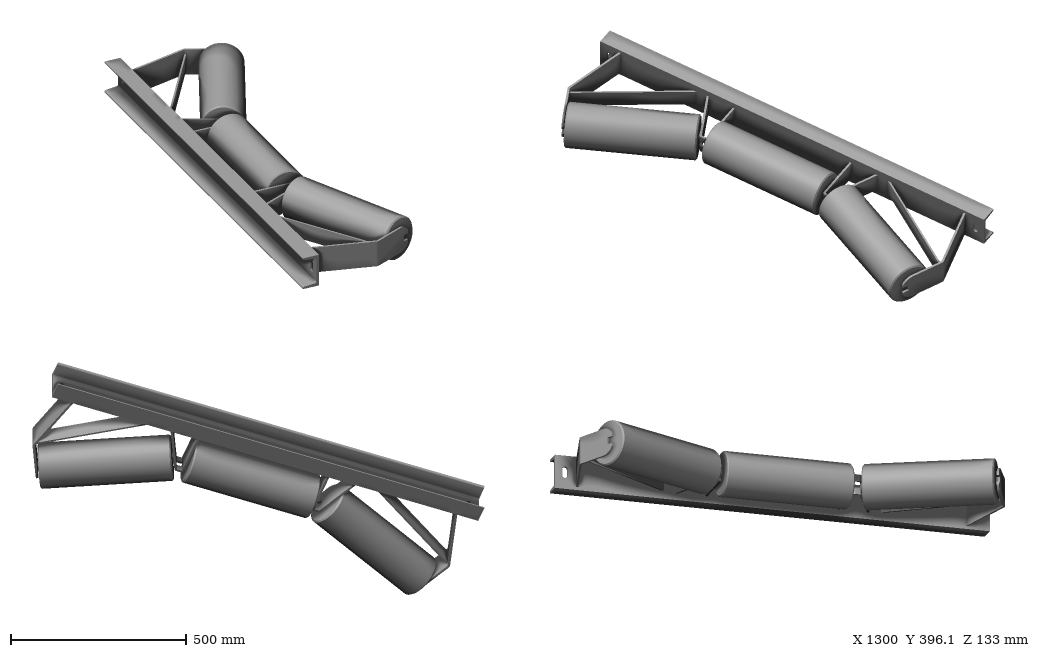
import cadquery as cq
import math


BEAM_LENGTH = 1300.0
BEAM_DEPTH = 51.0
BEAM_HEIGHT = 100.0
WEB_THICKNESS = 8.0
FLANGE_TIP_THICKNESS = 6.0
FLANGE_ROOT_THICKNESS = 10.0
BEAM_ROOT_RADIUS = 5.0
BEAM_TIP_RADIUS = 5.0
SLOT_WIDTH = 15.0
SLOT_HEIGHT = 34.0
SLOT_INSET = 30.0

ROLLER_DIAMETER = 133.0
ROLLER_LENGTH = 381.0
ROLLER_CHAMFER = 4.0
AXLE_WIDTH = 20.0
ROLLER_GAP = 4.5
TROUGH_ANGLE = 25.0
MIDDLE_ROLLER_Y = 169.0
SIDE_ROLLER_X = 408.0
SIDE_ROLLER_Y = 257.0

OUTER_WIDTH = 80.0
BAR_THICKNESS = 6.0
STRUT_THICKNESS = 5.0
STRUT_WIDTH = 52.0
KNEE_Y = 245.0
KNEE_RADIUS = 8.0
OUTER_FOOT_X = 584.0
TIP_REACH = 29.0
TIP_ROUND_DROP = 6.0
STRUT_TOP_Y = 248.0
STRUT_FOOT_X = 329.0
INNER_TOP_Y = 196.0
INNER_WIDTH = 60.0
INNER_BEND_RADIUS = 3.0

AXLE_HALF_LENGTH = ROLLER_LENGTH / 2 + ROLLER_GAP + BAR_THICKNESS
BAR_OFFSET = AXLE_HALF_LENGTH - BAR_THICKNESS / 2
FOOT_OVERRUN = 13.0
TOOL_THICKNESS = 4 * BAR_THICKNESS
CLEARANCE = 65.0


def place_at_side_roller(shape):
    """Move a shape made about a level roller at the origin to the right-hand side roller."""
    tilted = shape.rotate((0, 0, 0), (0, 0, 1), TROUGH_ANGLE)
    return tilted.translate((SIDE_ROLLER_X, SIDE_ROLLER_Y, 0))


def side_point(along, up):
    """XY point at a distance along and square to the axis of the right-hand side roller."""
    angle = math.radians(TROUGH_ANGLE)
    x = SIDE_ROLLER_X + along * math.cos(angle) - up * math.sin(angle)
    y = SIDE_ROLLER_Y + along * math.sin(angle) + up * math.cos(angle)
    return x, y


def side_point_at_height(along, y):
    """Point at height Y on the line square to the side roller axis at a distance along it."""
    angle = math.radians(TROUGH_ANGLE)
    start_y = side_point(along, 0)[1]
    return side_point(along, (y - start_y) / math.cos(angle))


KNEE = side_point_at_height(BAR_OFFSET, KNEE_Y)


def extended(start, end, distance):
    """Point beyond the end of a line."""
    length = math.dist(start, end)
    return tuple(e + (e - s) * distance / length for s, e in zip(start, end))


def flat_bar(points, thickness, width):
    """Flat bar with mitred bends, its middle surface through the XY points."""
    left_side = []
    right_side = []
    for i, (x, y) in enumerate(points):
        before = points[max(i - 1, 0)]
        after = points[min(i + 1, len(points) - 1)]
        angles = []
        if i > 0:
            angles.append(math.atan2(y - before[1], x - before[0]))
        if i < len(points) - 1:
            angles.append(math.atan2(after[1] - y, after[0] - x))
        turn = math.remainder(angles[-1] - angles[0], 2 * math.pi)
        normal = angles[0] + turn / 2 + math.pi / 2
        reach = thickness / 2 / math.cos(turn / 2)
        dx = reach * math.cos(normal)
        dy = reach * math.sin(normal)
        left_side.append((x + dx, y + dy))
        right_side.append((x - dx, y - dy))
    outline = cq.Workplane("XY").polyline(left_side + right_side[::-1]).close()
    return outline.extrude(width / 2, both=True)


def trim_foot(bar):
    """Cut a bar off flush with the beam web."""
    below = cq.Workplane("XY").box(2 * BEAM_LENGTH, 2 * CLEARANCE, 2 * OUTER_WIDTH)
    return bar.cut(below.translate((0, BEAM_DEPTH - CLEARANCE, 0)))


def axle_slot(end):
    """Tool for the slot that takes one axle end (+1 or -1) of a level roller, open upwards."""
    slot = cq.Workplane("XY").box(TOOL_THICKNESS, AXLE_WIDTH + CLEARANCE, AXLE_WIDTH)
    return slot.translate((end * BAR_OFFSET, CLEARANCE / 2, 0))


def make_beam():
    tip_z = BEAM_HEIGHT / 2 - FLANGE_TIP_THICKNESS
    root_y = BEAM_DEPTH - WEB_THICKNESS
    root_z = BEAM_HEIGHT / 2 - FLANGE_ROOT_THICKNESS
    outer_z = BEAM_HEIGHT / 2
    half_outline = [(0, outer_z), (0, tip_z), (root_y, root_z)]
    mirrored_half = [(y, -z) for y, z in reversed(half_outline)]
    outline = half_outline + mirrored_half + [(BEAM_DEPTH, -outer_z), (BEAM_DEPTH, outer_z)]
    end_plane = cq.Workplane("YZ", origin=(-BEAM_LENGTH / 2, 0, 0))
    beam = end_plane.polyline(outline).close().extrude(BEAM_LENGTH)
    for side in (-1, 1):
        root_edge = cq.selectors.NearestToPointSelector((0, root_y, side * root_z))
        beam = beam.edges(root_edge).fillet(BEAM_ROOT_RADIUS)
        tip_edge = cq.selectors.NearestToPointSelector((0, 0, side * tip_z))
        beam = beam.edges(tip_edge).fillet(BEAM_TIP_RADIUS)
    slot_x = BEAM_LENGTH / 2 - SLOT_INSET
    slots = (
        cq.Workplane("XZ")
        .pushPoints([(-slot_x, 0), (slot_x, 0)])
        .slot2D(SLOT_HEIGHT, SLOT_WIDTH, 90)
        .extrude(-BEAM_DEPTH)
    )
    return beam.cut(slots)


def make_roller():
    """Level roller centred on the origin, with its square axle ends."""
    end_plane = cq.Workplane("YZ", origin=(-ROLLER_LENGTH / 2, 0, 0))
    shell = end_plane.circle(ROLLER_DIAMETER / 2).extrude(ROLLER_LENGTH)
    shell = shell.faces("<X or >X").chamfer(ROLLER_CHAMFER)
    axle = cq.Workplane("XY").box(2 * AXLE_HALF_LENGTH, AXLE_WIDTH, AXLE_WIDTH)
    return shell.union(axle)


def outer_tip_trim():
    """Tool that rounds the outer bracket tip, made about a level roller."""
    tip_radius = OUTER_WIDTH / 2
    corner_block = cq.Workplane("XY").box(TOOL_THICKNESS, CLEARANCE, 2 * OUTER_WIDTH)
    corner_block = corner_block.translate((0, CLEARANCE / 2, 0))
    disc = cq.Workplane("YZ").circle(tip_radius).extrude(TOOL_THICKNESS / 2, both=True)
    return corner_block.cut(disc).translate((BAR_OFFSET, -TIP_ROUND_DROP, 0))


def make_outer_bracket():
    tip = side_point(BAR_OFFSET, TIP_REACH)
    foot = extended(KNEE, (OUTER_FOOT_X, BEAM_DEPTH), FOOT_OVERRUN)
    bracket = flat_bar([tip, KNEE, foot], BAR_THICKNESS, OUTER_WIDTH)
    inner_edge = cq.selectors.NearestToPointSelector((KNEE[0] - BAR_THICKNESS / 2, KNEE[1], 0))
    bracket = bracket.edges(inner_edge).fillet(KNEE_RADIUS)
    outer_edge = cq.selectors.NearestToPointSelector((KNEE[0] + BAR_THICKNESS / 2, KNEE[1], 0))
    bracket = bracket.edges(outer_edge).fillet(KNEE_RADIUS + BAR_THICKNESS)
    bracket = bracket.cut(place_at_side_roller(outer_tip_trim()))
    bracket = bracket.cut(place_at_side_roller(axle_slot(1)))
    return trim_foot(bracket)


def make_strut(outer_bracket):
    """Brace from the knee of the outer bracket down to the beam."""
    top = side_point_at_height(BAR_OFFSET, STRUT_TOP_Y)
    foot = extended(top, (STRUT_FOOT_X, BEAM_DEPTH), FOOT_OVERRUN)
    strut = flat_bar([top, foot], STRUT_THICKNESS, STRUT_WIDTH)
    return trim_foot(strut).cut(outer_bracket)


def make_inner_bracket():
    """Bracket with an upright leg at the middle roller and a tilted leg at the side roller."""
    top_y = INNER_TOP_Y - BAR_THICKNESS / 2
    foot_y = BEAM_DEPTH - FOOT_OVERRUN
    upright_top = (BAR_OFFSET, top_y)
    upright_foot = (BAR_OFFSET, foot_y)
    tilted_top = side_point_at_height(-BAR_OFFSET, top_y)
    tilted_foot = side_point_at_height(-BAR_OFFSET, foot_y)
    bends = [upright_top, tilted_top]
    bracket = flat_bar([upright_foot, *bends, tilted_foot], BAR_THICKNESS, INNER_WIDTH)
    bracket = bracket.faces(">Y").edges("|Z").fillet(INNER_BEND_RADIUS + BAR_THICKNESS)
    for x, y in bends:
        inside = cq.selectors.NearestToPointSelector((x, y - BAR_THICKNESS / 2, 0))
        bracket = bracket.edges("|Z").edges(inside).fillet(INNER_BEND_RADIUS)
    bracket = bracket.cut(axle_slot(1).translate((0, MIDDLE_ROLLER_Y, 0)))
    bracket = bracket.cut(place_at_side_roller(axle_slot(-1)))
    return trim_foot(bracket)


beam = make_beam()
middle_roller = make_roller().translate((0, MIDDLE_ROLLER_Y, 0))
side_roller = place_at_side_roller(make_roller())
outer_bracket = make_outer_bracket()
strut = make_strut(outer_bracket)
inner_bracket = make_inner_bracket()

bodies = [beam.val(), middle_roller.val()]
for right_hand in (side_roller, outer_bracket, strut, inner_bracket):
    bodies.append(right_hand.val())
    bodies.append(right_hand.mirror("YZ").val())

result = cq.Compound.makeCompound(bodies)